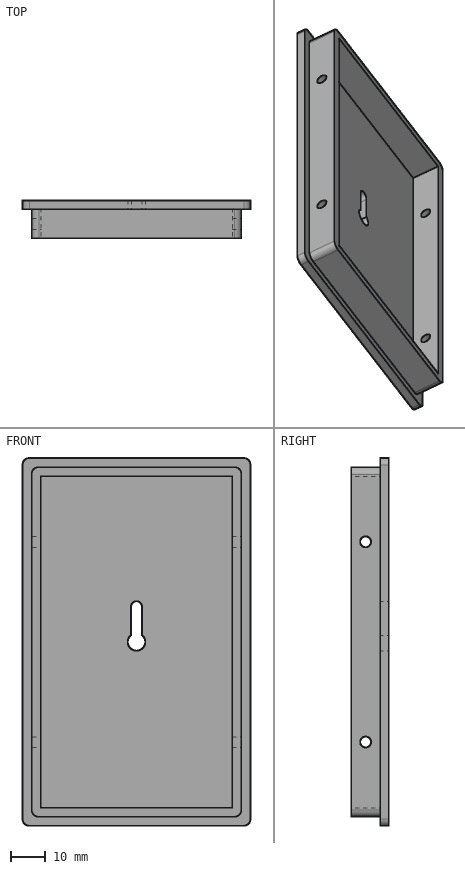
import cadquery as cq

width = 65.2
height = 105.2
depth = 10.8
flange_thickness = 2.5
flange_overhang = 2.6
corner_radius = 2.0

wall = 2.6
rim_width = width - 2 * flange_overhang
rim_height = height - 2 * flange_overhang
cavity_width = rim_width - 2 * wall
cavity_height = rim_height - 2 * wall

side_hole_diameter = 3.0
side_hole_spacing = 57.2
side_hole_from_back = (flange_thickness + depth) / 2

keyhole_diameter = 4.9
keyhole_slot_width = 3.0
keyhole_slot_length = 10.1

back_y = depth / 2


def block(size_x, size_z, length):
    """Box centred on X and Z, reaching from the back face toward -Y."""
    return cq.Workplane("XZ", origin=(0, back_y, 0)).rect(size_x, size_z).extrude(length)


def make_tray():
    flange = block(width, height, flange_thickness).edges("|Y").fillet(corner_radius)
    rim = block(rim_width, rim_height, depth).edges("|Y").fillet(corner_radius)
    floor = block(cavity_width, cavity_height, flange_thickness)
    cavity = block(cavity_width, cavity_height, depth).cut(floor)
    return flange.union(rim).cut(cavity)


def make_keyhole():
    back = cq.Workplane("XZ", origin=(0, back_y, 0))
    opening = back.circle(keyhole_diameter / 2).extrude(flange_thickness)
    slot = (
        back.center(0, keyhole_slot_length / 2)
        .rect(keyhole_slot_width, keyhole_slot_length)
        .extrude(flange_thickness)
    )
    slot_end = (
        back.center(0, keyhole_slot_length)
        .circle(keyhole_slot_width / 2)
        .extrude(flange_thickness)
    )
    return opening.union(slot).union(slot_end)


def make_side_holes():
    """Two cross holes, each passing through both long walls."""
    return (
        cq.Workplane("YZ", origin=(0, back_y - side_hole_from_back, 0))
        .pushPoints([(0, -side_hole_spacing / 2), (0, side_hole_spacing / 2)])
        .circle(side_hole_diameter / 2)
        .extrude(width / 2, both=True)
    )


result = make_tray().cut(make_keyhole()).cut(make_side_holes())